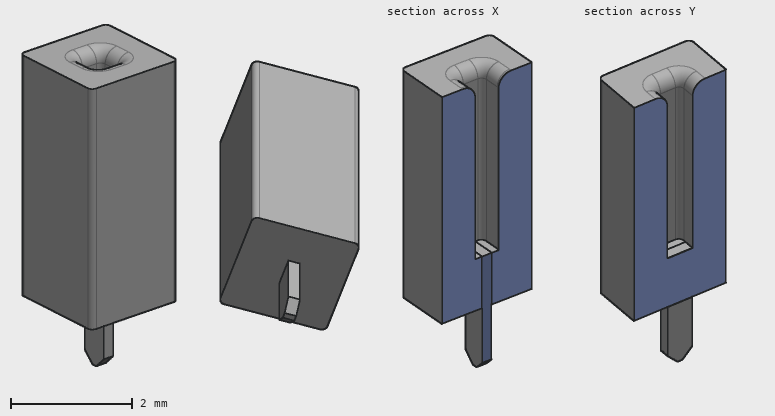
import cadquery as cq

total_height = 5.55
housing_width = 1.85
pin_length_below = 1.2
housing_height = total_height - pin_length_below
corner_radius = 0.1

socket_width = 0.5
socket_corner_radius = 0.1
mouth_radius = 0.25
floor_thickness = 1.0

pin_width = socket_width
pin_thickness = 0.2
tip_chamfer = 0.2


def make_pin():
    """Flat blade with a chamfered lower tip."""
    blade_length = pin_length_below + floor_thickness
    return (
        cq.Workplane("XY")
        .workplane(offset=-pin_length_below)
        .rect(pin_width, pin_thickness)
        .extrude(blade_length)
        .faces("<Z")
        .edges("|Y")
        .chamfer(tip_chamfer)
    )


def make_socket_cutter():
    """Square cavity with rounded corners, from the floor to the top face."""
    return (
        cq.Workplane("XY")
        .workplane(offset=floor_thickness)
        .rect(socket_width, socket_width)
        .extrude(housing_height - floor_thickness)
        .edges("|Z")
        .fillet(socket_corner_radius)
    )


def make_housing(pin):
    """Rounded block with a flared socket and a slot that matches the pin."""
    block = (
        cq.Workplane("XY")
        .rect(housing_width, housing_width)
        .extrude(housing_height)
        .edges("|Z")
        .fillet(corner_radius)
    )
    socketed = block.cut(make_socket_cutter())
    mouth_edges = cq.selectors.BoxSelector(
        (-socket_width, -socket_width, housing_height - mouth_radius),
        (socket_width, socket_width, housing_height + mouth_radius),
    )
    flared = socketed.faces(">Z").edges(mouth_edges).fillet(mouth_radius)
    return flared.cut(pin)


pin = make_pin()
housing = make_housing(pin)

result = cq.Compound.makeCompound([housing.val(), pin.val()])